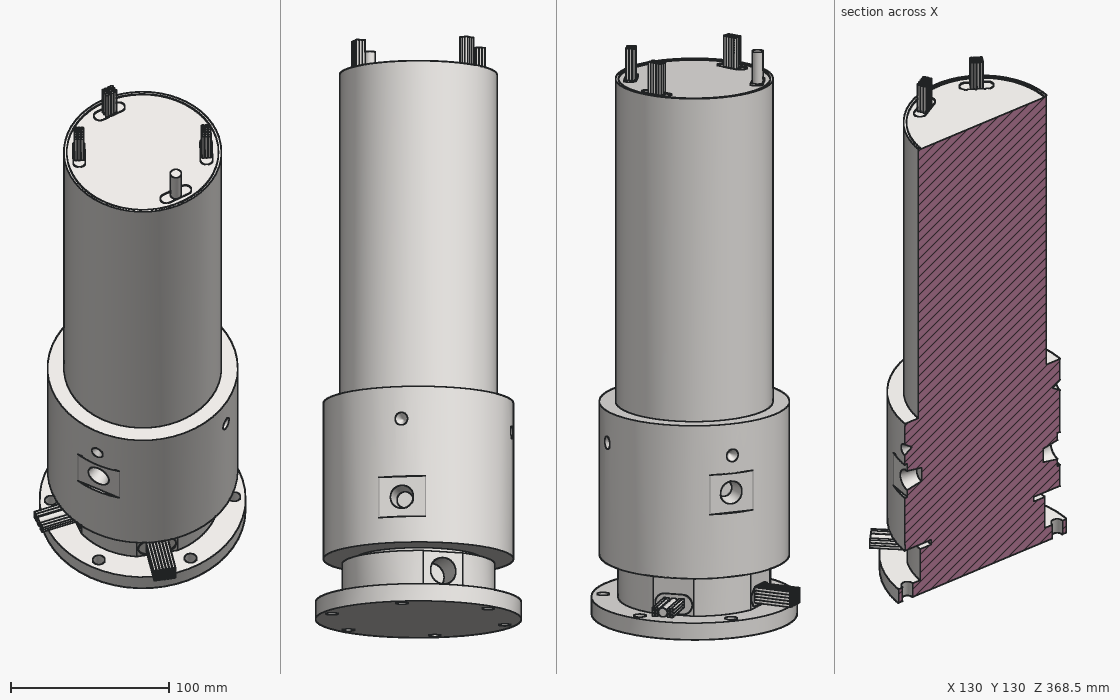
import cadquery as cq
import math

FLANGE_TOP = 11.0
BLOCK_TOP = 35.5
BODY_BOTTOM = 38.7
BODY_TOP = 138.5
TUBE_TOP = 349.5
TOTAL_HEIGHT = 368.5

FLANGE_RADIUS = 130.0 / 2
BLOCK_RADIUS = 48.3
NECK_RADIUS = 39.8
BODY_RADIUS = 60.0
TUBE_RADIUS = 49.7
TUBE_WALL = 2.0
LID_RECESS = 0.7
LID_HEIGHT = TUBE_TOP - LID_RECESS

BOLT_COUNT = 6
BOLT_FIRST_ANGLE = 30
BOLT_CIRCLE_RADIUS = 58.0
BOLT_HOLE_DIAMETER = 7.7

DIMPLE_COUNT = 4
DIMPLE_RADIUS = 4.0
DIMPLE_DEPTH = 5.5
DIMPLE_HEIGHT = 118.0

PAD_WIDTH = 30.0
PAD_HEIGHT = 25.8
PAD_DISTANCE = math.sqrt(BODY_RADIUS**2 - (PAD_WIDTH / 2) ** 2)
PORT_MOUTH_RADIUS = 7.5
PORT_END_RADIUS = 5.0
PORT_DEPTH = 11.0
PORTS = [(-90, 93.2), (90, 68.0)]

FLAT_DISTANCE = 46.5
BLOCK_MIDDLE = (FLANGE_TOP + BLOCK_TOP) / 2
LEFT_CABLE_ANGLE = -130
RIGHT_CABLE_ANGLE = -50
SIDE_HOLE_ANGLE = 120
SIDE_HOLE_DIAMETER = 17.0
SIDE_HOLE_DEPTH = 22.0

SLOT_DEPTH = 0.7
SIDE_SLOT_LENGTH = 24.5
SIDE_SLOT_WIDTH = 13.0
SIDE_SLOT_HEIGHT = 18.0
LID_SLOT_LENGTH = 21.7
LID_SLOT_WIDTH = 7.7
LID_SLOT_RADIUS = 40.0

WIRE_DIAMETER = 2.0
WIRE_PITCH = 2.03
WIRE_ROOT = 3.7

SIDE_CABLE_REACH = 70.8
SIDE_CABLE_HEIGHT = 18.8
MAIN_CABLE_DIAMETER = 6.0
STACK_COLUMNS = 2
STACK_ROWS = 3
BUNDLE_COLUMNS = 7
BUNDLE_ROWS = 5

LID_PIN_DIAMETER = 7.0
LID_PIN_ANGLE = -30
LID_BUNDLES = [(30, 5, 3), (150, 4, 3), (210, 5, 3)]


def disc(radius, bottom, top):
    return cq.Workplane("XY").workplane(offset=bottom).circle(radius).extrude(top - bottom)


def directions(angle):
    """Unit vectors pointing outward and sideways at an angle about Z."""
    turn = math.radians(angle)
    outward = cq.Vector(math.cos(turn), math.sin(turn), 0)
    sideways = cq.Vector(-math.sin(turn), math.cos(turn), 0)
    return outward, sideways


def radial_plane(angle, distance, height):
    """Plane facing outward at an angle about Z; its local x is horizontal and its y points up."""
    outward, sideways = directions(angle)
    origin = outward * distance + cq.Vector(0, 0, height)
    return cq.Workplane(cq.Plane(origin=origin, xDir=sideways, normal=outward))


def lid_plane(angle):
    """Plane on the lid at a slot centre; its local x runs along the slot."""
    outward, sideways = directions(angle)
    origin = outward * LID_SLOT_RADIUS + cq.Vector(0, 0, LID_HEIGHT)
    return cq.Workplane(cq.Plane(origin=origin, xDir=sideways, normal=(0, 0, 1)))


def grid(columns, rows, center_x=0):
    """Evenly pitched wire positions around a centre."""
    return [
        (center_x + (i - (columns - 1) / 2) * WIRE_PITCH, (j - (rows - 1) / 2) * WIRE_PITCH)
        for i in range(columns)
        for j in range(rows)
    ]


def wires(plane, points, diameter, length):
    """Wires rooted below the plane and reaching the given length above it."""
    start = plane.workplane(offset=-WIRE_ROOT)
    return start.pushPoints(points).circle(diameter / 2).extrude(length + WIRE_ROOT)


def make_column():
    column = disc(FLANGE_RADIUS, 0, FLANGE_TOP)
    column = column.union(disc(BLOCK_RADIUS, FLANGE_TOP, BLOCK_TOP))
    column = column.union(disc(NECK_RADIUS, BLOCK_TOP, BODY_BOTTOM))
    column = column.union(disc(BODY_RADIUS, BODY_BOTTOM, BODY_TOP))
    column = column.union(disc(TUBE_RADIUS, BODY_TOP, TUBE_TOP))
    return column.cut(disc(TUBE_RADIUS - TUBE_WALL, LID_HEIGHT, TUBE_TOP))


def cut_bolt_holes(part):
    holes = (
        cq.Workplane("XY")
        .polarArray(BOLT_CIRCLE_RADIUS, BOLT_FIRST_ANGLE, 360, BOLT_COUNT)
        .circle(BOLT_HOLE_DIAMETER / 2)
        .extrude(FLANGE_TOP)
    )
    return part.cut(holes)


def inward_cone(face, mouth_radius, end_radius, depth):
    """Cone that narrows from a face into the part."""
    cone = cq.Solid.makeCone(mouth_radius, end_radius, depth, face.plane.origin, -face.plane.zDir)
    return cq.Workplane(cone)


def cut_dimples(part):
    for i in range(DIMPLE_COUNT):
        face = radial_plane(i * 360 / DIMPLE_COUNT, BODY_RADIUS, DIMPLE_HEIGHT)
        part = part.cut(inward_cone(face, DIMPLE_RADIUS, 0, DIMPLE_DEPTH))
    return part


def cut_port(part, angle, height):
    face = radial_plane(angle, PAD_DISTANCE, height)
    part = part.cut(face.rect(PAD_WIDTH, PAD_HEIGHT).extrude(BODY_RADIUS - PAD_DISTANCE))
    return part.cut(inward_cone(face, PORT_MOUTH_RADIUS, PORT_END_RADIUS, PORT_DEPTH))


def cut_flat(part, angle):
    block_height = BLOCK_TOP - FLANGE_TOP
    face = radial_plane(angle, FLAT_DISTANCE, BLOCK_MIDDLE)
    return part.cut(face.rect(2 * BLOCK_RADIUS, block_height).extrude(BLOCK_RADIUS - FLAT_DISTANCE))


def cut_side_hole(part):
    part = cut_flat(part, SIDE_HOLE_ANGLE)
    face = radial_plane(SIDE_HOLE_ANGLE, FLAT_DISTANCE, BLOCK_MIDDLE)
    return part.cut(face.circle(SIDE_HOLE_DIAMETER / 2).extrude(-SIDE_HOLE_DEPTH))


def cut_side_slot(part, angle):
    part = cut_flat(part, angle)
    face = radial_plane(angle, FLAT_DISTANCE, SIDE_SLOT_HEIGHT)
    return part.cut(face.slot2D(SIDE_SLOT_LENGTH, SIDE_SLOT_WIDTH).extrude(-SLOT_DEPTH))


def add_side_cables(part):
    length = SIDE_CABLE_REACH - FLAT_DISTANCE

    left = radial_plane(LEFT_CABLE_ANGLE, FLAT_DISTANCE, SIDE_CABLE_HEIGHT)
    part = part.union(wires(left, [(0, 0)], MAIN_CABLE_DIAMETER, length))
    stack_offset = (MAIN_CABLE_DIAMETER + STACK_COLUMNS * WIRE_PITCH) / 2
    for side in (-1, 1):
        stack = grid(STACK_COLUMNS, STACK_ROWS, side * stack_offset)
        part = part.union(wires(left, stack, WIRE_DIAMETER, length))

    right = radial_plane(RIGHT_CABLE_ANGLE, FLAT_DISTANCE, SIDE_CABLE_HEIGHT)
    return part.union(wires(right, grid(BUNDLE_COLUMNS, BUNDLE_ROWS), WIRE_DIAMETER, length))


def add_lid_cables(part):
    length = TOTAL_HEIGHT - LID_HEIGHT
    for angle in [LID_PIN_ANGLE] + [bundle[0] for bundle in LID_BUNDLES]:
        slot = lid_plane(angle).slot2D(LID_SLOT_LENGTH, LID_SLOT_WIDTH).extrude(-SLOT_DEPTH)
        part = part.cut(slot)
    part = part.union(wires(lid_plane(LID_PIN_ANGLE), [(0, 0)], LID_PIN_DIAMETER, length))
    for angle, along, across in LID_BUNDLES:
        part = part.union(wires(lid_plane(angle), grid(along, across), WIRE_DIAMETER, length))
    return part


result = make_column()
result = cut_bolt_holes(result)
result = cut_dimples(result)
for port_angle, port_height in PORTS:
    result = cut_port(result, port_angle, port_height)
result = cut_side_hole(result)
for cable_angle in (LEFT_CABLE_ANGLE, RIGHT_CABLE_ANGLE):
    result = cut_side_slot(result, cable_angle)
result = add_side_cables(result)
result = add_lid_cables(result)